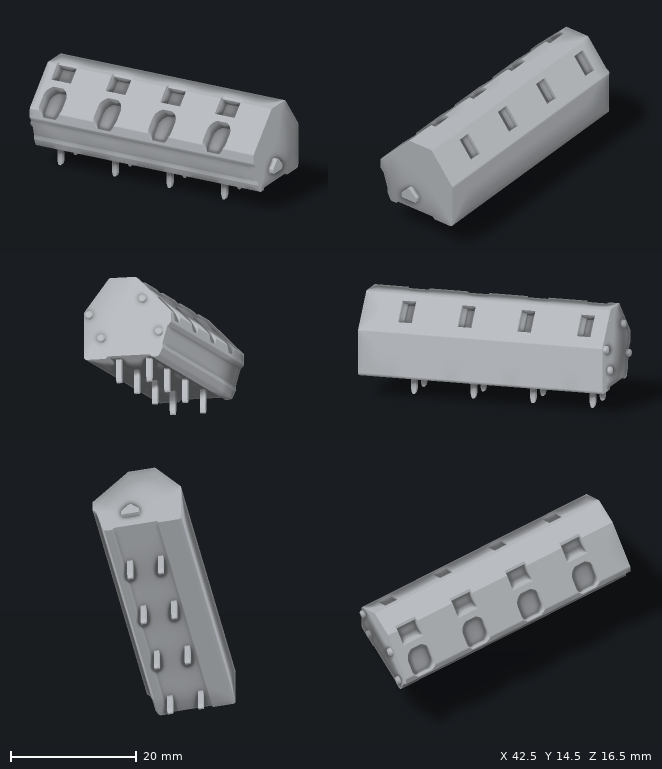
import cadquery as cq
import math


terminal_count = 4
pitch = 10.0
terminal_x = 3.53
body_length = 40.95
body_depth = 14.5
body_height = 13.05
edge_radius = 0.5
ridge_radius = 0.15
brow_radius = 0.35
foot_radius = 0.65

front_corner_z = 7.2
front_top_y = body_height - front_corner_z

rear_corner_z = 7.6
rear_top_y = 10.25
rear_angle = math.atan2(body_height - rear_corner_z, body_depth - rear_top_y)

brow_z = 5.5
brow_step = 0.65
brow_height = 0.72
waist_y = 1.4
waist_top_z = 2.1
waist_bottom_z = 1.35
foot_front_y = 2.05

recess_height = 0.4
recess_front_y = 3.15
recess_rear_y = 10.9

slot_width = 4.12
slot_bottom = -0.8
slot_top = 4.38
slot_depth = 2.55
slot_centre = 1.7
slot_centre_distance = 1.6

pocket_width = 3.6
pocket_floor_width = 3.53
pocket_bottom = 5.5
pocket_top = 8.4
pocket_floor_bottom = 6.0
pocket_depth = 2.45
lip_bottom = 7.22
lip_depth = 0.6

window_width = 2.3
window_throat_width = 1.15
window_start = 1.3
window_length = 3.8
window_mouth_depth = 0.8
window_throat_start = 1.3
window_depth = 1.85

peg_radius = 0.65
peg_length = 0.7
peg_chamfer = 0.15
peg_centres = [(1.9, 3.95), (4.65, 9.4), (11.5, 3.3), (13.5, 7.2)]
key_length = 0.85
key_half_width = 1.5
key_centre_y = 6.35
key_bottom_z = 2.3
key_eave_z = 3.15
key_roof_radius = 0.45
key_bottom_radius = 0.3

pin_x = 3.2
pin_rows_y = (4.5, 9.5)
pin_width = 0.85
pin_bottom_z = -3.45
pin_taper_z = -2.68
pin_nose_z = -3.27
pin_nose_width = 0.55
pin_end_width = 0.3

clearance = 2.12


def terminal_positions(first_x):
    return [first_x + i * pitch for i in range(terminal_count)]


def front_slope_plane(x):
    """Plane on the front slope: local Y climbs the slope, local Z points outward."""
    return cq.Plane(origin=(x, 0, front_corner_z), xDir=(1, 0, 0), normal=(0, -1, 1))


def make_shell():
    outline = [
        (foot_front_y, 0),
        (recess_front_y, 0),
        (recess_front_y + recess_height, recess_height),
        (recess_rear_y - recess_height, recess_height),
        (recess_rear_y, 0),
        (body_depth, 0),
        (body_depth, rear_corner_z),
        (rear_top_y, body_height),
        (front_top_y, body_height),
        (0, front_corner_z),
        (0, brow_z),
        (brow_step, brow_z - brow_height),
        (waist_y, waist_top_z),
        (waist_y, waist_bottom_z),
    ]
    rounded_corners = [
        (body_depth, 0, edge_radius),
        (body_depth, rear_corner_z, edge_radius),
        (rear_top_y, body_height, edge_radius),
        (front_top_y, body_height, ridge_radius),
        (0, front_corner_z, edge_radius),
        (0, brow_z, brow_radius),
        (foot_front_y, 0, foot_radius),
    ]
    shell = cq.Workplane("YZ").polyline(outline).close().extrude(body_length)
    for y, z, radius in rounded_corners:
        shell = shell.edges(corner_edge(y, z)).fillet(radius)
    return shell


def corner_edge(y, z):
    """Select the lengthwise edge that passes through the profile corner (y, z)."""
    return cq.selectors.NearestToPointSelector((body_length / 2, y, z))


def make_wire_slot(x):
    """Round-ended slot with both ends cut flat."""
    outer_length = slot_centre_distance + slot_width
    stadium = (
        cq.Workplane(front_slope_plane(x))
        .workplane(offset=-slot_depth)
        .center(0, slot_centre)
        .slot2D(outer_length, slot_width, 90)
        .extrude(slot_depth + clearance)
    )
    flat_ends = (
        cq.Workplane(front_slope_plane(x))
        .workplane(offset=-slot_depth)
        .center(0, (slot_bottom + slot_top) / 2)
        .rect(slot_width + clearance, slot_top - slot_bottom)
        .extrude(slot_depth + clearance)
    )
    return stadium.intersect(flat_ends)


def make_lever_pocket(x):
    """Well with inclined walls, opened towards the flat top by a shallow lip."""
    mouth_centre = (pocket_bottom + pocket_top) / 2
    floor_centre = (pocket_floor_bottom + pocket_top) / 2
    well = (
        cq.Workplane(front_slope_plane(x))
        .center(0, mouth_centre)
        .rect(pocket_width, pocket_top - pocket_bottom)
        .workplane(offset=-pocket_depth)
        .center(0, floor_centre - mouth_centre)
        .rect(pocket_floor_width, pocket_top - pocket_floor_bottom)
        .loft()
    )
    lip_top = pocket_top + clearance
    lip_centre = (lip_bottom + lip_top) / 2
    lip = (
        cq.Workplane(front_slope_plane(x))
        .workplane(offset=-lip_depth)
        .center(0, lip_centre)
        .rect(pocket_width, lip_top - lip_bottom)
        .extrude(lip_depth + clearance)
    )
    return well.union(lip)


def make_test_window(x):
    """Funnel section (width against depth) extruded down the rear slope."""
    down_y = math.cos(rear_angle)
    down_z = -math.sin(rear_angle)
    origin = (x, rear_top_y + window_start * down_y, body_height + window_start * down_z)
    plane = cq.Plane(origin=origin, xDir=(1, 0, 0), normal=(0, down_y, down_z))
    mouth = window_width / 2
    throat = window_throat_width / 2
    section = [
        (-mouth, -clearance),
        (mouth, -clearance),
        (mouth, window_mouth_depth),
        (throat, window_throat_start),
        (throat, window_depth),
        (-throat, window_depth),
        (-throat, window_throat_start),
        (-mouth, window_mouth_depth),
    ]
    return cq.Workplane(plane).polyline(section).close().extrude(window_length)


def make_pegs():
    return (
        cq.Workplane("YZ")
        .pushPoints(peg_centres)
        .circle(peg_radius)
        .extrude(-peg_length)
        .faces("<X")
        .chamfer(peg_chamfer)
    )


def make_key():
    """Gable-shaped key with a 45 degree roof and rounded corners."""
    outline = [
        (-key_half_width, key_bottom_z),
        (key_half_width, key_bottom_z),
        (key_half_width, key_eave_z),
        (0, key_eave_z + key_half_width),
        (-key_half_width, key_eave_z),
    ]
    key = (
        cq.Workplane("YZ", origin=(body_length, key_centre_y, 0))
        .polyline(outline)
        .close()
        .extrude(key_length)
    )
    key = key.edges("|X").edges("not <Z").fillet(key_roof_radius)
    return key.edges("|X").edges("<Z").fillet(key_bottom_radius)


def make_housing():
    housing = make_shell().union(make_pegs()).union(make_key())
    for x in terminal_positions(terminal_x):
        housing = housing.cut(make_wire_slot(x))
        housing = housing.cut(make_lever_pocket(x))
        housing = housing.cut(make_test_window(x))
    return housing


def make_pin(x, y):
    """Square pin hanging from the recess, tapered in X towards its tip."""
    half_width = pin_width / 2
    half_nose = pin_nose_width / 2
    half_end = pin_end_width / 2
    outline = [
        (-half_width, recess_height),
        (half_width, recess_height),
        (half_width, pin_taper_z),
        (half_nose, pin_nose_z),
        (half_end, pin_bottom_z),
        (-half_end, pin_bottom_z),
        (-half_nose, pin_nose_z),
        (-half_width, pin_taper_z),
    ]
    return (
        cq.Workplane("XZ", origin=(x, y, 0))
        .polyline(outline)
        .close()
        .extrude(half_width, both=True)
    )


housing = make_housing()
pins = [make_pin(x, y) for x in terminal_positions(pin_x) for y in pin_rows_y]

result = cq.Compound.makeCompound([housing.val(), *[pin.val() for pin in pins]])